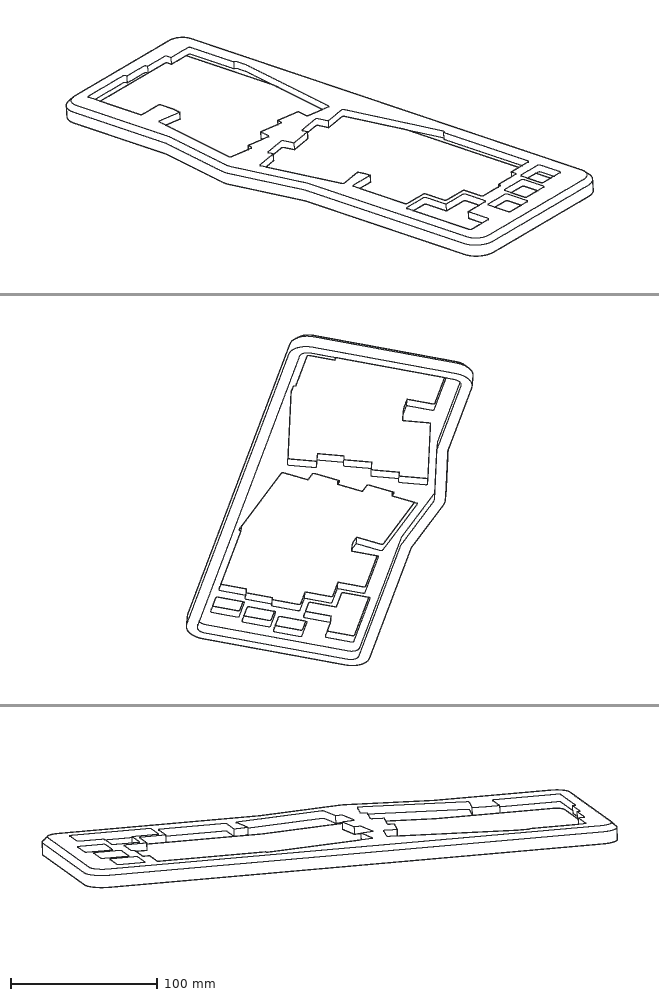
import cadquery as cq
import math


length = 379.0
side_depth = 128.0
thickness = 12.0
tilt = 5.0
splay = 10.0
bend_left = 97.0
bend_right = 221.7
corner_radius = 14.0
point_radius = 16.3
top_chamfer = 3.6
deck_thickness = 5.3
rim_width = 7.5

row_count = 5
rows_depth = 95.5
pitch = rows_depth / row_count
clearance = 0.5
inner_radius = 1.25
straight_back = 14.5
splayed_back = 0.5
tab_start = 94.5
front_row_keys = 2.5

left_outer_setbacks = [1 / 2, 1 / 4, 1 / 8, 0, 0]
left_inner_setbacks = [1 / 2, 1, 3 / 4, 1 / 4, 0]
right_outer_setbacks = [3 / 8, 1 / 8, 0, 7 / 8, 15 / 8]
right_inner_setbacks = [3 / 4, 1 / 4, 1 / 2, 0, 1 / 4]

left_outer_end = 11.7
right_outer_end = 334.0
left_inner_end = 171.3
right_inner_end = 166.0
shoulder_rise = 1.5
left_shoulder_x = 61.5
right_shoulder_x = 249.8

single_key_x = 345.3
single_key_step = 1.2
single_key_shift = 1 / 4
single_key_count = 3
arrow_x = 331.0
arrow_row_keys = 3
arrow_drop = 1 / 4

center_x = (bend_left + bend_right) / 2
point_depth = side_depth + (center_x - bend_left) * math.tan(math.radians(splay))
cos_splay = math.cos(math.radians(splay))
sin_splay = math.sin(math.radians(splay))
tolerance = 0.005


def splayed(along, across):
    """(x, depth) of a point in the left block, whose rows slope forward to the right."""
    return (along * cos_splay - across * sin_splay, along * sin_splay + across * cos_splay)


def bend_point(depth, across):
    """Where a straight edge at this depth meets an edge of the splayed rows."""
    along = (depth - across * cos_splay) / sin_splay
    return splayed(along, across)


def staircase(setbacks):
    """(setback, distance from the back row) of the corners down one side of the rows."""
    corners = [(setbacks[0] * pitch, -clearance)]
    for row in range(1, row_count):
        behind, ahead = setbacks[row - 1], setbacks[row]
        if behind == ahead:
            continue
        margin = clearance if behind < ahead else -clearance
        boundary = row * pitch + margin
        corners += [(behind * pitch, boundary), (ahead * pitch, boundary)]
    corners.append((setbacks[-1] * pitch, rows_depth + clearance))
    return corners


def hand_outline(outer_end, outer_setbacks, inner_end, inner_setbacks, shoulder_x):
    """(x, depth) corners of the left hand opening, from its back left corner clockwise."""
    back = straight_back - clearance
    splayed_back_edge = splayed_back - clearance
    shoulder_back = back - shoulder_rise
    tab_top = straight_back + (row_count - 1) * pitch + clearance
    splayed_tab_top = splayed_back + (row_count - 1) * pitch + clearance
    tab_x = outer_end + (outer_setbacks[-1] + front_row_keys) * pitch + 2 * clearance

    outer = [(outer_end + setback, straight_back + row) for setback, row in staircase(outer_setbacks)]
    shoulder = [
        (shoulder_x, back),
        (shoulder_x, shoulder_back),
        bend_point(shoulder_back, splayed_back_edge),
    ]
    inner = [splayed(inner_end - setback, splayed_back + row) for setback, row in staircase(inner_setbacks)]
    tab = [
        splayed(tab_start, splayed_back + rows_depth + clearance),
        splayed(tab_start, splayed_tab_top),
        bend_point(tab_top, splayed_tab_top),
        (tab_x, tab_top),
        (tab_x, straight_back + rows_depth + clearance),
    ]
    return outer[:1] + shoulder + inner + tab + outer[:0:-1]


def key_outline(x, depth, keys_wide=1, keys_deep=1):
    """(x, depth) corners of a rectangular key opening around its centre, clockwise."""
    half_width = keys_wide * pitch / 2 + clearance
    half_depth = keys_deep * pitch / 2 + clearance
    return [
        (x - half_width, depth - half_depth),
        (x + half_width, depth - half_depth),
        (x + half_width, depth + half_depth),
        (x - half_width, depth + half_depth),
    ]


def turns_inward(before, corner, after):
    """True where a clockwise outline turns clockwise, at an inner corner of the opening."""
    arriving = (corner[0] - before[0], corner[1] - before[1])
    leaving = (after[0] - corner[0], after[1] - corner[1])
    return arriving[0] * leaving[1] - arriving[1] * leaving[0] > 0


def cutter(outline):
    """Prism through the plate with the inner corners of the opening rounded."""
    following = outline[1:] + outline[:1]
    preceding = outline[-1:] + outline[:-1]
    rounded = [
        (corner[0], -corner[1])
        for before, corner, after in zip(preceding, outline, following)
        if turns_inward(before, corner, after)
    ]

    def is_rounded(edge):
        center = edge.Center()
        return any(math.dist((center.x, center.y), corner) < tolerance for corner in rounded)

    prism = cq.Workplane("XY").polyline([(x, -depth) for x, depth in outline]).close().extrude(thickness)
    return prism.edges("|Z").filter(is_rounded).fillet(inner_radius)


def plate_blank():
    """Flat plate with rounded corners and a blunt point at the middle of its front edge."""
    outline = [
        (0, 0),
        (length, 0),
        (length, -side_depth),
        (bend_right, -side_depth),
        (center_x, -point_depth),
        (bend_left, -side_depth),
        (0, -side_depth),
    ]
    blank = cq.Workplane("XY").polyline(outline).close().extrude(thickness)
    blank = blank.edges("|Z and (<X or >X)").fillet(corner_radius)
    return blank.edges("|Z and <Y").fillet(point_radius)


def underside_hollow():
    """Recess that leaves the deck and a rim of even width."""
    floor_wire = plate_blank().faces("<Z").wires().val()
    inset_wire = floor_wire.offset2D(-rim_width)[0]
    hollow_depth = thickness - deck_thickness
    return cq.Workplane("XY").add(inset_wire).toPending().extrude(hollow_depth)


def plate():
    return plate_blank().faces(">Z").chamfer(top_chamfer).cut(underside_hollow())


def hand_openings():
    left_hand = hand_outline(
        left_outer_end, left_outer_setbacks, left_inner_end, left_inner_setbacks, left_shoulder_x
    )
    right_hand_mirrored = hand_outline(
        2 * center_x - right_outer_end,
        right_outer_setbacks,
        right_inner_end,
        right_inner_setbacks,
        2 * center_x - right_shoulder_x,
    )
    right_hand = [(2 * center_x - x, depth) for x, depth in reversed(right_hand_mirrored)]
    return [cutter(left_hand), cutter(right_hand)]


def single_key_openings():
    openings = []
    for index in range(single_key_count):
        x = single_key_x + index * single_key_shift * pitch
        depth = straight_back + pitch / 2 + index * single_key_step * pitch
        openings.append(cutter(key_outline(x, depth)))
    return openings


def arrow_openings():
    """Wide arrow row, and a slot for the up key that runs forward into it."""
    row_center = straight_back + (row_count - 0.5 + arrow_drop) * pitch
    up_slot = key_outline(arrow_x, row_center - pitch / 2, keys_deep=2)
    arrow_row = key_outline(arrow_x, row_center, keys_wide=arrow_row_keys)
    return [cutter(up_slot), cutter(arrow_row)]


flat_part = plate()
for opening in hand_openings() + single_key_openings() + arrow_openings():
    flat_part = flat_part.cut(opening)

result = flat_part.rotate((0, 0, 0), (1, 0, 0), tilt)